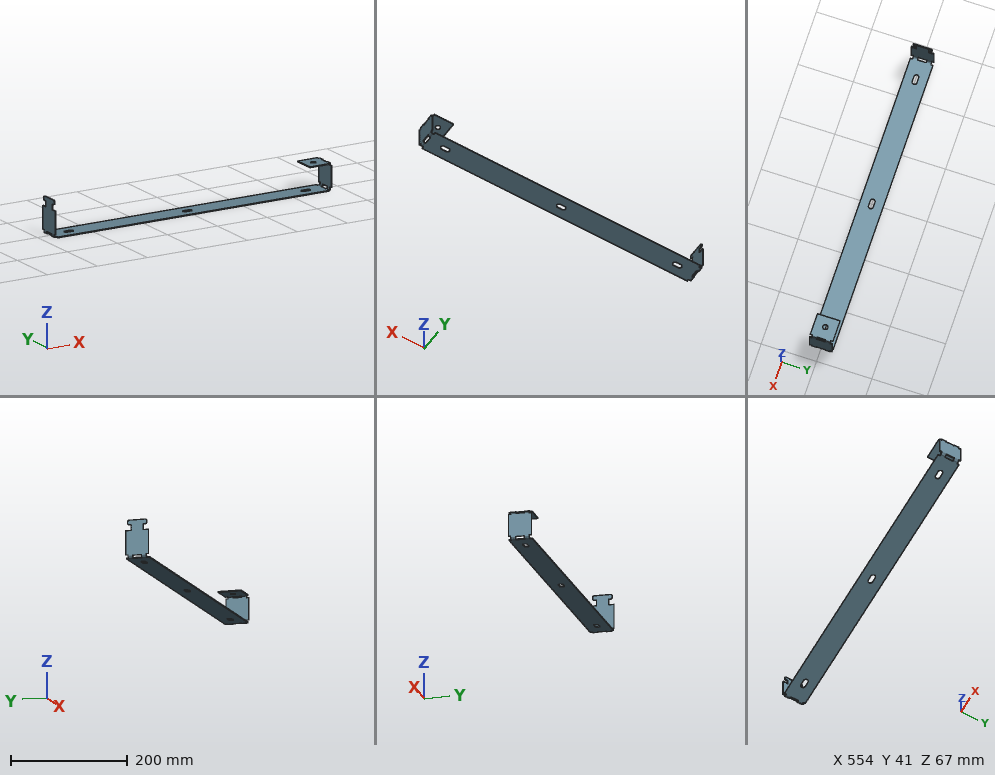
import cadquery as cq

length = 554.0
width = 41.0
hook_height = 67.0
sheet = 2.0

flange_height = 50.0
flange_start_x = 510.5
flange_hole_x = 529.0
hole_diameter = 9.0

shoulder_height = 49.0
neck_width = 21.5
head_width = 35.0
head_height = 8.5
head_corner_radius = 3.5

slot_length = 18.0
slot_width = 8.5
slot_pitch = 237.0
slot_count = 3
middle_slot_x = length / 2

base_bend_radius = 3.5
flange_bend_radius = 2.0
base_window_cut = 5.0
base_notch_cut = 6.0
flange_window_cut = 3.5
flange_notch_cut = 4.5
middle_window_width = 15.5
bridge_width = 9.0
corner_notch_width = (width - middle_window_width) / 2 - bridge_width


def box(x_start, x_end, y_centre, y_size, z_start, z_end):
    """Block given by its X and Z limits and its centre and size along Y."""
    block = cq.Workplane("XY").box(x_end - x_start, y_size, z_end - z_start, centered=(False, True, False))
    return block.translate((x_start, y_centre, z_start))


def bent_strip():
    """Base with both legs and the flange, bent from one strip of sheet."""
    outer = (
        box(0, length, 0, width, 0, hook_height)
        .edges("|Y and <Z")
        .fillet(base_bend_radius)
    )
    inner = (
        box(sheet, length - sheet, 0, width, sheet, hook_height)
        .edges("|Y and <Z")
        .fillet(base_bend_radius - sheet)
    )
    trough = outer.cut(inner)
    above_flange = box(length - sheet, length, 0, width, flange_height, hook_height)
    flange = box(flange_start_x, length, 0, width, flange_height - sheet, flange_height)
    strip = trough.cut(above_flange).union(flange)
    flange_bend_edge = cq.selectors.NearestToPointSelector((length, 0, flange_height))
    return strip.edges("|Y").edges(flange_bend_edge).fillet(flange_bend_radius)


def hook_profile_cut():
    """Material removed beside the neck and head of the hooked leg."""
    upper = box(0, sheet, 0, width, shoulder_height, hook_height)
    neck = box(0, sheet, 0, neck_width, shoulder_height, hook_height)
    head = (
        box(0, sheet, 0, head_width, hook_height - head_height, hook_height)
        .edges("|X")
        .fillet(head_corner_radius)
    )
    return upper.cut(neck).cut(head)


def bend_windows(corner_x, corner_z, x_direction, z_direction, window_cut, notch_cut):
    """Middle window and two corner notches, reaching inward from a bend's outer corner."""

    def bend_block(reach, y_centre, y_size):
        x_limits = sorted((corner_x, corner_x + x_direction * reach))
        z_limits = sorted((corner_z, corner_z + z_direction * reach))
        return box(*x_limits, y_centre, y_size, *z_limits)

    windows = bend_block(window_cut, 0, middle_window_width)
    notch_y = (width - corner_notch_width) / 2
    for side in (-1, 1):
        windows = windows.union(bend_block(notch_cut, side * notch_y, corner_notch_width))
    return windows


result = bent_strip().cut(hook_profile_cut())

hook_bend = (0, 0, 1, 1, base_window_cut, base_notch_cut)
base_bend = (length, 0, -1, 1, base_window_cut, base_notch_cut)
flange_bend = (length, flange_height, -1, -1, flange_window_cut, flange_notch_cut)
for bend in (hook_bend, base_bend, flange_bend):
    result = result.cut(bend_windows(*bend))

slots = (
    cq.Workplane("XY")
    .center(middle_slot_x, 0)
    .rarray(slot_pitch, 5.5, slot_count, 1)
    .slot2D(slot_length, slot_width)
    .extrude(sheet)
)
flange_hole = (
    cq.Workplane("XY", origin=(flange_hole_x, 0, flange_height - sheet))
    .circle(hole_diameter / 2)
    .extrude(sheet)
)
result = result.cut(slots).cut(flange_hole)